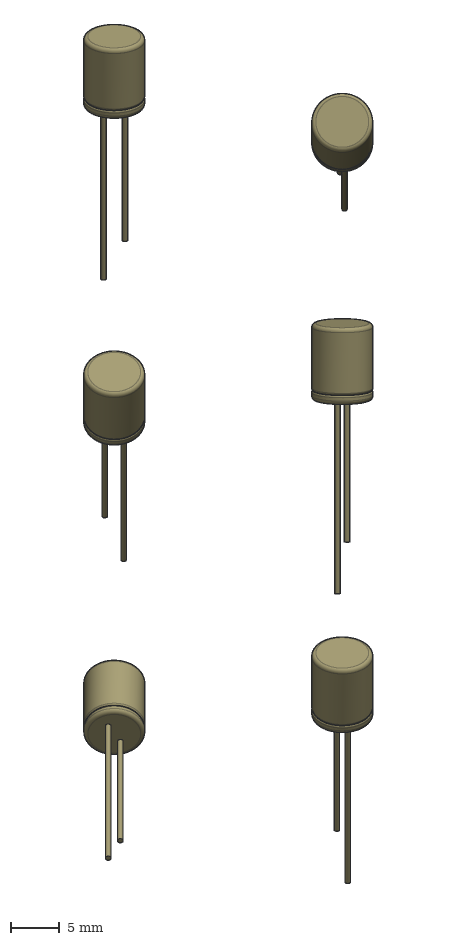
import cadquery as cq
import math

CAN_DIAMETER = 6.3
CAN_HEIGHT = 8.0
END_FACE_DIAMETER = 5.43
END_FILLET = (CAN_DIAMETER - END_FACE_DIAMETER) / 2

GROOVE_CENTRE_HEIGHT = 1.0
GROOVE_WIDTH = 0.45
GROOVE_FLOOR_DIAMETER = 6.08
GROOVE_FLOOR_WIDTH = 0.05

LEAD_DIAMETER = 0.6
LEAD_PITCH = 2.5
OVERALL_HEIGHT = 28
LONG_LEAD_LENGTH = OVERALL_HEIGHT - CAN_HEIGHT
SHORT_LEAD_LENGTH = 15.0


def make_groove_cutter():
    """Ring that fills the groove, with its flat floor facing the can's axis."""
    wall = CAN_DIAMETER / 2
    floor = GROOVE_FLOOR_DIAMETER / 2
    top = GROOVE_CENTRE_HEIGHT + GROOVE_WIDTH / 2
    bottom = GROOVE_CENTRE_HEIGHT - GROOVE_WIDTH / 2
    floor_top = GROOVE_CENTRE_HEIGHT + GROOVE_FLOOR_WIDTH / 2
    floor_bottom = GROOVE_CENTRE_HEIGHT - GROOVE_FLOOR_WIDTH / 2

    depth = wall - floor
    rise = top - floor_top
    flank_radius = (depth**2 + rise**2) / (2 * depth)
    half_sweep = math.asin(rise / flank_radius) / 2
    flank_mid = wall - flank_radius * (1 - math.cos(half_sweep))
    mid_drop = flank_radius * math.sin(half_sweep)

    section = (
        cq.Workplane("XZ")
        .moveTo(wall, top)
        .threePointArc((flank_mid, top - mid_drop), (floor, floor_top))
        .lineTo(floor, floor_bottom)
        .threePointArc((flank_mid, bottom + mid_drop), (wall, bottom))
        .close()
    )
    return section.revolve(360, (0, 0, 0), (0, 1, 0))


def make_can():
    """Rounded cylinder standing on Z = 0, with the crimp groove cut around it."""
    can = cq.Workplane("XY").circle(CAN_DIAMETER / 2).extrude(CAN_HEIGHT)
    can = can.faces("<Z or >Z").edges().fillet(END_FILLET)
    return can.cut(make_groove_cutter())


def make_lead(x, length):
    """Straight round wire hanging down from the foot of the can."""
    return cq.Workplane("XY").center(x, 0).circle(LEAD_DIAMETER / 2).extrude(-length)


can = make_can()
leads = [
    make_lead(x, length)
    for x, length in [(-LEAD_PITCH / 2, LONG_LEAD_LENGTH), (LEAD_PITCH / 2, SHORT_LEAD_LENGTH)]
]

result = cq.Compound.makeCompound([can.val(), *[lead.val() for lead in leads]])